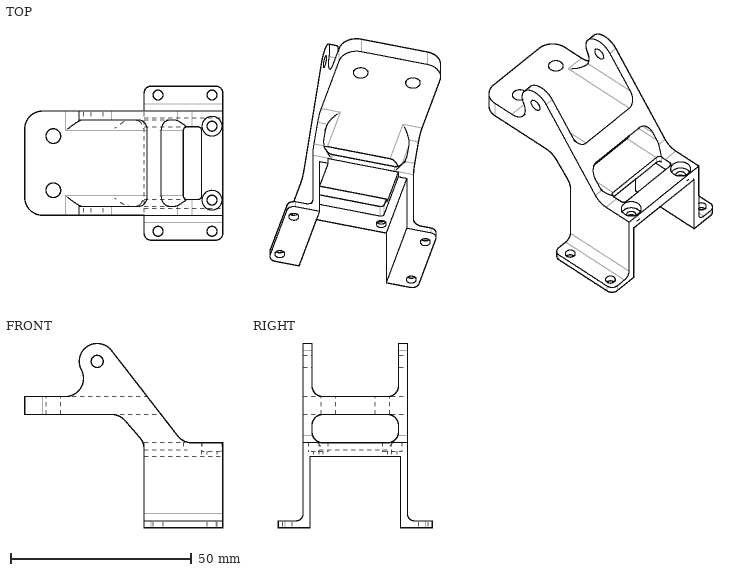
import cadquery as cq
import math

length = 55.0
height = 51.2
body_width = 29.0
flange_span = 42.8

large_radius = 5.0
plate_thickness = 5.0
plate_top = 36.45
plate_bottom = plate_top - plate_thickness
lug_x = 20.15
lug_z = height - large_radius
lug_hole_diameter = 3.3
base_front = 33.1
base_top = 23.65
slope_foot_x = 43.95
brace_top_x = 26.4
brace_bottom_z = 23.7

arm_wall = 2.55
inner_radius = 2.95
base_wall = 2.0
floor_bottom = 19.8
floor_thickness = 2.0

window_start = 44.05
window_end = 49.05
window_width = 20.15
window_radius = 1.0

flange_thickness = 2.0
flange_radius = 2.0

plate_hole_diameter = 4.0
plate_hole_x = 8.0
plate_hole_spacing = 15.0
screw_diameter = 2.7
screw_rear_x = 52.0
flange_hole_front_x = 37.0
flange_hole_spacing = 37.8
counterbore_diameter = 5.5
counterbore_depth = 2.5
counterbore_spacing = 20.5


def box(x_start, x_end, width, z_start, z_end):
    """Box between X and Z limits, centred on Y = 0."""
    size = (x_end - x_start, width, z_end - z_start)
    corner = cq.Vector(x_start, -width / 2, z_start)
    return cq.Workplane("XY").box(*size, centered=False).translate(corner)


def drill(diameter, x, spacing, z_start, depth):
    """Pair of vertical cylinders placed symmetrically about Y = 0."""
    places = [(x, -spacing / 2), (x, spacing / 2)]
    plane = cq.Workplane("XY").workplane(offset=z_start)
    return plane.pushPoints(places).circle(diameter / 2).extrude(depth)


def lug_point(angle):
    """Point on the lug's outer circle."""
    return lug_x + large_radius * math.cos(angle), lug_z + large_radius * math.sin(angle)


def side_body():
    """Side outline extruded over the body width, with its outline corners blended."""
    neck_z = plate_top + large_radius
    neck_x = lug_x - math.sqrt((2 * large_radius) ** 2 - (lug_z - neck_z) ** 2)
    neck_lug = ((neck_x + lug_x) / 2, (neck_z + lug_z) / 2)
    neck_end_angle = math.atan2(lug_z - neck_z, lug_x - neck_x)
    neck_mid_angle = (neck_end_angle - math.pi / 2) / 2
    neck_mid = (
        neck_x + large_radius * math.cos(neck_mid_angle),
        neck_z + large_radius * math.sin(neck_mid_angle),
    )

    foot_dx = slope_foot_x - lug_x
    foot_dz = base_top - lug_z
    foot_distance = math.hypot(foot_dx, foot_dz)
    tangent_angle = math.atan2(foot_dz, foot_dx) + math.acos(large_radius / foot_distance)

    outline = (
        cq.Workplane("XZ", origin=(0, body_width / 2, 0))
        .moveTo(0, plate_bottom)
        .lineTo(0, plate_top)
        .lineTo(neck_x, plate_top)
        .threePointArc(neck_mid, neck_lug)
        .threePointArc(lug_point(math.pi / 2), lug_point(tangent_angle))
        .lineTo(slope_foot_x, base_top)
        .lineTo(length, base_top)
        .lineTo(length, 0)
        .lineTo(base_front, 0)
        .lineTo(base_front, brace_bottom_z)
        .lineTo(brace_top_x, plate_bottom)
        .close()
    )
    body = outline.extrude(body_width)
    for x, z in (
        (slope_foot_x, base_top),
        (base_front, brace_bottom_z),
        (brace_top_x, plate_bottom),
    ):
        body = body.edges(cq.selectors.NearestToPointSelector((x, 0, z))).fillet(large_radius)
    return body.edges("|Z and <X").fillet(large_radius)


def arm_openings():
    """Rounded spaces between the arms, above the plate, below it, and in front of the floor."""
    opening_width = body_width - 2 * arm_wall
    above = box(0, length, opening_width, plate_top, height + inner_radius)
    above = above.edges("|X and <Z").fillet(inner_radius)
    below = box(0, length, opening_width, base_top, plate_bottom)
    below = below.edges("|X").fillet(inner_radius)
    front = box(0, base_front, opening_width, floor_bottom, base_top + inner_radius)
    front = front.edges("|Z and >X").fillet(inner_radius)
    return above.union(below).union(front)


def base_openings():
    """Space under the floor, its shallow channel, and the window up from the channel."""
    under = box(base_front, length, body_width - 2 * base_wall, 0, floor_bottom)
    channel_top = base_top - floor_thickness
    channel = box(base_front, window_end, window_width, floor_bottom, channel_top)
    channel = channel.edges("|Z and >X").fillet(window_radius)
    window = box(window_start, window_end, window_width, floor_bottom, plate_bottom)
    window = window.edges("|Z").fillet(window_radius)
    return under.union(channel).union(window)


def flange(side):
    """Foot flange with rounded outer corners and a blend into the wall."""
    reach = (flange_span - body_width) / 2
    foot = (
        cq.Workplane("YZ", origin=(base_front, 0, 0))
        .moveTo(side * (body_width / 2 - base_wall), 0)
        .lineTo(side * (body_width / 2 + reach), 0)
        .lineTo(side * (body_width / 2 + reach), flange_thickness)
        .lineTo(side * body_width / 2, flange_thickness)
        .lineTo(side * body_width / 2, flange_thickness + 2 * flange_radius)
        .lineTo(side * (body_width / 2 - base_wall), flange_thickness + 2 * flange_radius)
        .close()
        .extrude(length - base_front)
    )
    inner_corner = (length / 2 + base_front / 2, side * body_width / 2, flange_thickness)
    foot = foot.edges(cq.selectors.NearestToPointSelector(inner_corner)).fillet(flange_radius)
    outer_edges = "|Z and >Y" if side > 0 else "|Z and <Y"
    return foot.edges(outer_edges).fillet(flange_radius)


def holes():
    """Lug pin hole, plate holes, flange holes and counterbored floor holes."""
    cut = (
        cq.Workplane("XZ", origin=(lug_x, body_width / 2, lug_z))
        .circle(lug_hole_diameter / 2)
        .extrude(body_width)
    )
    cut = cut.union(
        drill(plate_hole_diameter, plate_hole_x, plate_hole_spacing, plate_bottom, plate_thickness)
    )
    for x in (flange_hole_front_x, screw_rear_x):
        cut = cut.union(drill(screw_diameter, x, flange_hole_spacing, 0, flange_thickness))
    floor_depth = base_top - floor_bottom
    cut = cut.union(
        drill(screw_diameter, screw_rear_x, counterbore_spacing, floor_bottom, floor_depth)
    )
    return cut.union(
        drill(
            counterbore_diameter,
            screw_rear_x,
            counterbore_spacing,
            base_top - counterbore_depth,
            counterbore_depth,
        )
    )


result = side_body().cut(arm_openings()).cut(base_openings())
for flange_side in (-1, 1):
    result = result.union(flange(flange_side))
result = result.cut(holes())